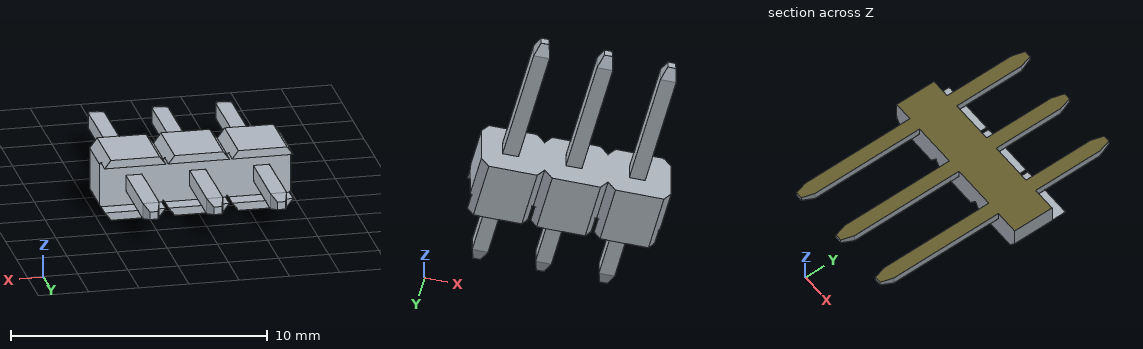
import cadquery as cq

PITCH = 2.54
PIN_COUNT = 3
BODY_LENGTH = PITCH * PIN_COUNT
BODY_DEPTH = 2.54
BODY_HEIGHT = 2.5

CHAMFER_X = 0.3
CHAMFER_Z = 0.4

LIP_THICKNESS = 0.33
CHANNEL_DEPTH = 0.7

PIN_WIDTH = 0.64
TIP_WIDTH = 0.32
TIP_LENGTH = 0.56
PIN_LENGTH = 11.2
REAR_PROJECTION = 3.0
PIN_OFFSET_X = -0.1
PIN_OFFSET_Z = -0.01

BODY_REAR_Y = BODY_DEPTH / 2
PIN_REAR_Y = BODY_REAR_Y + REAR_PROJECTION
PIN_FRONT_Y = PIN_REAR_Y - PIN_LENGTH

position_centres = [(i - (PIN_COUNT - 1) / 2) * PITCH for i in range(PIN_COUNT)]


def body_position(centre_x):
    """One octagonal block of the housing, extruded along Y."""
    half_x = PITCH / 2
    half_z = BODY_HEIGHT / 2
    flat_x = half_x - CHAMFER_X
    flat_z = half_z - CHAMFER_Z
    outline = [
        (-half_x, -flat_z),
        (-flat_x, -half_z),
        (flat_x, -half_z),
        (half_x, -flat_z),
        (half_x, flat_z),
        (flat_x, half_z),
        (-flat_x, half_z),
        (-half_x, flat_z),
    ]
    block = cq.Workplane("XZ").polyline(outline).close().extrude(BODY_REAR_Y, both=True)
    return block.translate((centre_x, 0, 0))


def housing():
    """Row of blocks with a channel cut along the full rear face."""
    body = body_position(position_centres[0])
    for centre_x in position_centres[1:]:
        body = body.union(body_position(centre_x))
    channel = (
        cq.Workplane("XY")
        .box(BODY_LENGTH, CHANNEL_DEPTH, BODY_HEIGHT - 2 * LIP_THICKNESS)
        .translate((0, BODY_REAR_Y - CHANNEL_DEPTH / 2, 0))
    )
    return body.cut(channel).clean()


def pin_section(start_y, start_width, end_y, end_width):
    """Square bar lofted between two widths along Y."""
    return (
        cq.Workplane("XZ", origin=(0, start_y, 0))
        .rect(start_width, start_width)
        .workplane(offset=start_y - end_y)
        .rect(end_width, end_width)
        .loft(ruled=True)
    )


def pin(centre_x):
    """Square pin with a tapered tip at each end."""
    shank_rear_y = PIN_REAR_Y - TIP_LENGTH
    shank_front_y = PIN_FRONT_Y + TIP_LENGTH
    shank = pin_section(shank_rear_y, PIN_WIDTH, shank_front_y, PIN_WIDTH)
    rear_tip = pin_section(PIN_REAR_Y, TIP_WIDTH, shank_rear_y, PIN_WIDTH)
    front_tip = pin_section(shank_front_y, PIN_WIDTH, PIN_FRONT_Y, TIP_WIDTH)
    whole_pin = shank.union(rear_tip).union(front_tip)
    return whole_pin.translate((centre_x + PIN_OFFSET_X, 0, PIN_OFFSET_Z))


result = housing()
for position_x in position_centres:
    result = result.union(pin(position_x))